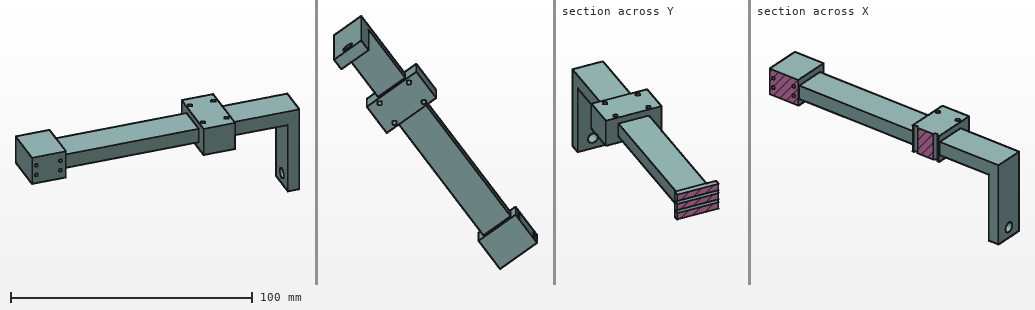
import cadquery as cq

length = 119.4
bar_width = 14.0
bar_height = 6.5
leg_thickness = 5.1
leg_drop = 38.2
leg_hole_diameter = 4.5
leg_hole_height = 5.0

block_height = 12.5
end_block_width = 19.0
end_block_length = 15.0
slider_width = 25.4
slider_length = 14.0
slider_back_gap = 30.7

slider_hole_diameter = 1.9
slider_hole_pitch_x = 15.0
slider_hole_pitch_y = 10.4
slider_hole_offset = -0.1
end_hole_diameter = 1.3
end_hole_pitch_y = 10.6
end_hole_pitch_z = 4.5
end_hole_offset_y = -0.2

slider_center = length - slider_back_gap - slider_length / 2
end_block_center = end_block_length / 2
leg_bottom = bar_height / 2 - leg_drop


def centered_box(width, depth, height, center_y, center_z=0):
    return cq.Workplane("XY").box(width, depth, height).translate((0, center_y, center_z))


def make_body():
    bar = centered_box(bar_width, length, bar_height, length / 2)
    leg = centered_box(
        bar_width, leg_thickness, leg_drop,
        length - leg_thickness / 2, bar_height / 2 - leg_drop / 2,
    )
    slider = centered_box(slider_width, slider_length, block_height, slider_center)
    end_block = centered_box(end_block_width, end_block_length, block_height, end_block_center)
    return bar.union(leg).union(slider).union(end_block)


def make_leg_hole():
    return (
        cq.Workplane("XZ", origin=(0, length, 0))
        .center(0, leg_bottom + leg_hole_height)
        .circle(leg_hole_diameter / 2)
        .extrude(leg_thickness)
    )


def make_slider_holes():
    return (
        cq.Workplane("XY", origin=(0, slider_center + slider_hole_offset, -block_height / 2))
        .rarray(slider_hole_pitch_x, slider_hole_pitch_y, 2, 2)
        .circle(slider_hole_diameter / 2)
        .extrude(block_height)
    )


def make_end_block_holes():
    return (
        cq.Workplane("YZ", origin=(-end_block_width / 2, end_block_center + end_hole_offset_y, 0))
        .rarray(end_hole_pitch_y, end_hole_pitch_z, 2, 2)
        .circle(end_hole_diameter / 2)
        .extrude(end_block_width)
    )


result = make_body().cut(make_leg_hole()).cut(make_slider_holes()).cut(make_end_block_holes())